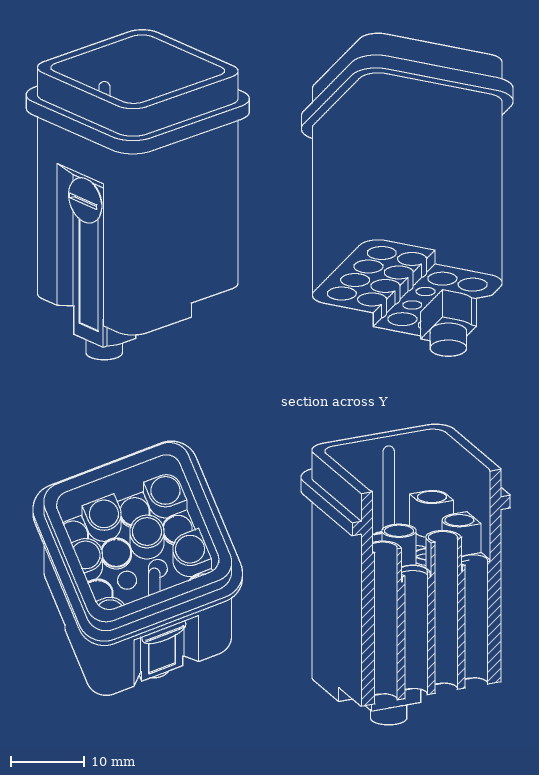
import cadquery as cq

TOP_Z = 40.3
FLANGE_TOP_Z = 36.23
FLANGE_BOTTOM_Z = 34.25
REAR_BOTTOM_Z = 8.83
FRONT_BOTTOM_Z = 6.75
CLAMP_BOTTOM_Z = 2.58

BODY_WIDTH = 21.0
BODY_CORNER = 2.8
FLANGE_WIDTH = 23.7
FLANGE_CORNER = 3.65
WALL = 1.55
CAVITY_CORNER = 2.0
CAVITY_FLOOR_Z = 26.2
STEP_Y = 0.5

PITCH = 4.5
CONTACT_HOLE_DIAMETER = 3.95
TALL_POST_RADIUS = 2.35
SHORT_POST_RADIUS = 2.1
TALL_POST_Z = 31.25
SHORT_POST_Z = 27.0
GRID_COUNT = 4
SMALL_HOLE_DIAMETER = 2.58
SMALL_HOLE_Y = -1.75

PIN_RADIUS = 0.75
PIN_TOP_Z = 40.15
PIN_Y = -6.1

POCKET_HALF_WIDTH = 4.75
POCKET_TOP_Z = 27.8
POCKET_DEPTH = 1.5
POCKET_SLOPE = 1.57

CLAMP_RADIUS = 3.7
CLAMP_FRONT_HALF_WIDTH = 3.02
GLAND_RADIUS = 2.5
GLAND_Y = -6.13

SCREW_Z = 23.58
SCREW_RADIUS = 3.2
SCREW_HEIGHT = 1.0
SCREW_EDGE = 0.4
HEAD_THICKNESS = 0.85
SLOT_WIDTH = 0.7
SLOT_DEPTH = 0.7
SLOT_END_SLOPE = 0.35
GROOVE_WIDTH = 3.9
GROOVE_BOTTOM_Z = 4.6
GROOVE_DEPTH = 0.2

BODY_HALF = BODY_WIDTH / 2
CAVITY_WIDTH = BODY_WIDTH - 2 * WALL
CAVITY_HALF = CAVITY_WIDTH / 2
POCKET_FLOOR_Y = -BODY_HALF + POCKET_DEPTH


def rounded_square(width, corner, bottom_z, top_z):
    """Upright square prism with rounded vertical edges."""
    block = cq.Workplane("XY").workplane(offset=bottom_z).rect(width, width).extrude(top_z - bottom_z)
    return block.edges("|Z").fillet(corner)


def cylinder(x, y, radius, bottom_z, top_z):
    """Upright cylinder."""
    return cq.Workplane("XY", origin=(x, y, bottom_z)).circle(radius).extrude(top_z - bottom_z)


def box(x_range, y_range, z_range):
    """Box given by its limits along each axis."""
    spans = (x_range, y_range, z_range)
    sizes = [high - low for low, high in spans]
    low_corner = tuple(low for low, high in spans)
    return cq.Workplane("XY").box(*sizes, centered=False).translate(low_corner)


def disc_on_front(radius, start_y, height):
    """Disc centred on the screw axis, growing toward -Y."""
    return cq.Workplane("XZ", origin=(0, start_y, SCREW_Z)).circle(radius).extrude(height)


def is_contact(column, row):
    """The lower rows hold contacts only next to the side walls."""
    return row >= GRID_COUNT // 2 or column in (0, GRID_COUNT - 1)


def grid_place(index):
    """Distance of a grid line from the part's centre."""
    return (index - (GRID_COUNT - 1) / 2) * PITCH


def wall_range(centre):
    """Limits along one axis from a post's centre to the nearest cavity wall."""
    if centre < 0:
        return (-CAVITY_HALF, centre)
    return (centre, CAVITY_HALF)


def contact_post(column, row):
    """Round post, squared off toward each cavity wall that it stands against."""
    x = grid_place(column)
    y = grid_place(row)
    tall = (column + row) % 2 == 0
    radius = TALL_POST_RADIUS if tall else SHORT_POST_RADIUS
    top_z = TALL_POST_Z if tall else SHORT_POST_Z
    z_range = (CAVITY_FLOOR_Z, top_z)
    post = cylinder(x, y, radius, *z_range)
    side_x = (x - radius, x + radius)
    side_y = (y - radius, y + radius)
    outer_lines = (0, GRID_COUNT - 1)
    if column in outer_lines:
        post = post.union(box(wall_range(x), side_y, z_range))
    if row in outer_lines:
        post = post.union(box(side_x, wall_range(y), z_range))
    return post


def pocket_outline(half_width, top_z):
    """Corners of an upright rectangle that starts at Z = 0."""
    return [(-half_width, 0), (half_width, 0), (half_width, top_z), (-half_width, top_z)]


result = rounded_square(BODY_WIDTH, BODY_CORNER, FRONT_BOTTOM_Z, TOP_Z)
result = result.union(rounded_square(FLANGE_WIDTH, FLANGE_CORNER, FLANGE_BOTTOM_Z, FLANGE_TOP_Z))
result = result.cut(
    box((-BODY_HALF, BODY_HALF), (STEP_Y, BODY_HALF), (FRONT_BOTTOM_Z, REAR_BOTTOM_Z))
)
cavity = rounded_square(CAVITY_WIDTH, CAVITY_CORNER, CAVITY_FLOOR_Z, TOP_Z)
result = result.cut(cavity)

contacts = [(c, r) for c in range(GRID_COUNT) for r in range(GRID_COUNT) if is_contact(c, r)]
for column, row in contacts:
    result = result.union(contact_post(column, row).intersect(cavity))
for column, row in contacts:
    hole = cylinder(grid_place(column), grid_place(row), CONTACT_HOLE_DIAMETER / 2, 0, TOP_Z)
    result = result.cut(hole)
for x in (-PITCH / 2, PITCH / 2):
    result = result.cut(cylinder(x, SMALL_HOLE_Y, SMALL_HOLE_DIAMETER / 2, 0, TOP_Z))

pin = cylinder(0, PIN_Y, PIN_RADIUS, CAVITY_FLOOR_Z, PIN_TOP_Z - PIN_RADIUS)
tip = cq.Workplane("XY").sphere(PIN_RADIUS).translate((0, PIN_Y, PIN_TOP_Z - PIN_RADIUS))
result = result.union(pin).union(tip)

pocket = (
    cq.Workplane("XZ", origin=(0, POCKET_FLOOR_Y, 0))
    .polyline(pocket_outline(POCKET_HALF_WIDTH - POCKET_SLOPE, POCKET_TOP_Z - POCKET_SLOPE))
    .close()
    .workplane(offset=POCKET_DEPTH)
    .polyline(pocket_outline(POCKET_HALF_WIDTH, POCKET_TOP_Z))
    .close()
    .loft(ruled=True)
)
result = result.cut(pocket)

clamp_z = (CLAMP_BOTTOM_Z, FRONT_BOTTOM_Z)
clamp_back_y = GLAND_Y + GLAND_RADIUS
clamp = cylinder(0, GLAND_Y, CLAMP_RADIUS, *clamp_z)
clamp = clamp.intersect(box((-CLAMP_RADIUS, CLAMP_RADIUS), (POCKET_FLOOR_Y, GLAND_Y), clamp_z))
clamp = clamp.union(box((-CLAMP_RADIUS, CLAMP_RADIUS), (GLAND_Y, clamp_back_y), clamp_z))
nose_x = (-CLAMP_FRONT_HALF_WIDTH, CLAMP_FRONT_HALF_WIDTH)
clamp = clamp.union(box(nose_x, (POCKET_FLOOR_Y, GLAND_Y), clamp_z))
gland = cylinder(0, GLAND_Y, GLAND_RADIUS, 0, CLAMP_BOTTOM_Z)
result = result.union(clamp).union(gland)

groove = box(
    (-GROOVE_WIDTH / 2, GROOVE_WIDTH / 2),
    (POCKET_FLOOR_Y, POCKET_FLOOR_Y + GROOVE_DEPTH),
    (GROOVE_BOTTOM_Z, SCREW_Z),
)
result = result.cut(groove)

screw_front_y = POCKET_FLOOR_Y - SCREW_HEIGHT
face_radius = SCREW_RADIUS - SCREW_EDGE
head = disc_on_front(SCREW_RADIUS, screw_front_y + HEAD_THICKNESS, HEAD_THICKNESS)
head = head.faces("<Y or >Y").edges().fillet(SCREW_EDGE)
shank_length = GROOVE_DEPTH + SCREW_HEIGHT - HEAD_THICKNESS
shank = disc_on_front(face_radius, POCKET_FLOOR_Y + GROOVE_DEPTH, shank_length)
screw = shank.union(head)
slot_floor_half = face_radius - SLOT_END_SLOPE
slot_floor_y = screw_front_y + SLOT_DEPTH
slot_outline = [
    (-face_radius, screw_front_y),
    (face_radius, screw_front_y),
    (slot_floor_half, slot_floor_y),
    (-slot_floor_half, slot_floor_y),
]
slot = (
    cq.Workplane("XY", origin=(0, 0, SCREW_Z - SLOT_WIDTH / 2))
    .polyline(slot_outline)
    .close()
    .extrude(SLOT_WIDTH)
)
result = result.union(screw).cut(slot)